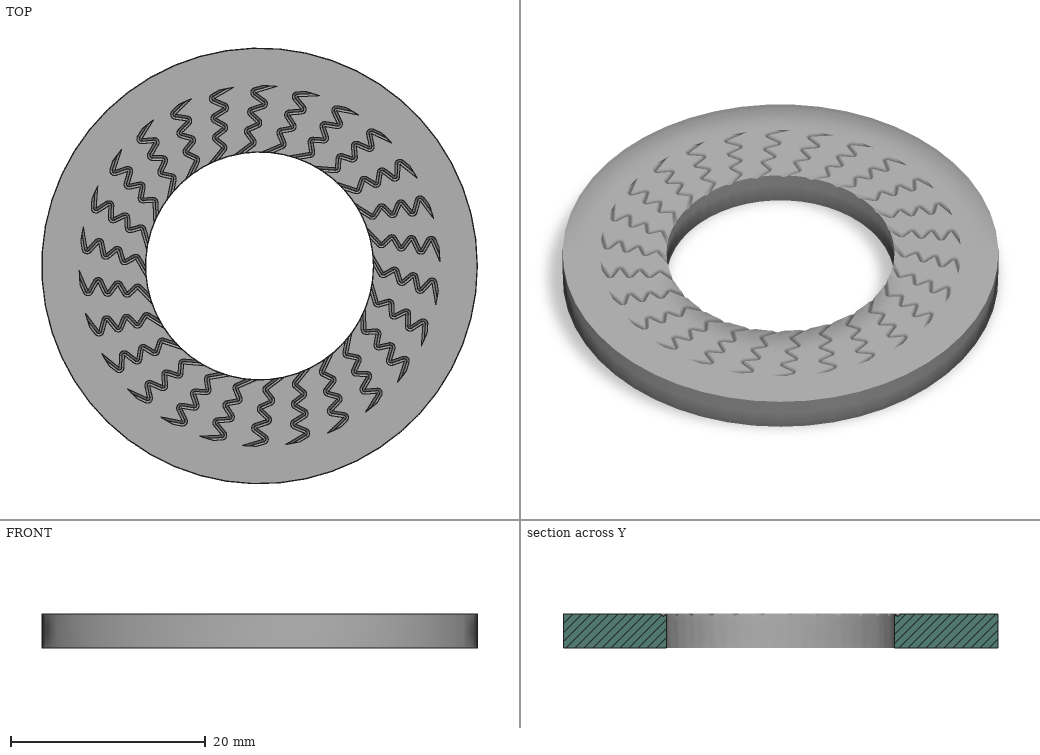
import cadquery as cq
import math

outer_diameter = 44.69
bore_diameter = 23.35
thickness = 3.5

groove_count = 26
groove_width = 0.5
groove_depth = groove_width / 2
grooved_zone_radius = 18.5

zigzag_count = 3
first_valley = (12.49, 2.015)
valley_step = (2.02, -0.43)
first_peak = (13.62, 3.1)
peak_step = (2.0, 0.0)
inlet_length = 3.0
inlet_angle = 134.0
outlet_length = 3.0
outlet_angle = -66.5

axis_clearance = 0.002
bend_radius = groove_width / 2 + axis_clearance


def stepped(start, step, count):
    return (start[0] + count * step[0], start[1] + count * step[1])


def polar_offset(point, length, angle):
    turn = math.radians(angle)
    return (point[0] + length * math.cos(turn), point[1] + length * math.sin(turn))


def path_corners():
    corners = [polar_offset(first_valley, inlet_length, inlet_angle)]
    for index in range(zigzag_count):
        corners.append(stepped(first_valley, valley_step, index))
        corners.append(stepped(first_peak, peak_step, index))
    corners.append(polar_offset(corners[-1], outlet_length, outlet_angle))
    return corners


def make_ring():
    return (
        cq.Workplane("XY")
        .circle(outer_diameter / 2)
        .circle(bore_diameter / 2)
        .extrude(thickness)
    )


def make_groove():
    corners = [cq.Vector(x, y, thickness) for x, y in path_corners()]
    sharp_path = cq.Wire.makePolygon(corners)
    path = sharp_path.fillet(bend_radius, sharp_path.Vertices()[1:-1])

    start_direction = corners[1] - corners[0]
    across = cq.Vector(0, 0, 1).cross(start_direction)
    start_plane = cq.Plane(origin=corners[0], xDir=across, normal=start_direction)
    section = (
        cq.Workplane(start_plane)
        .moveTo(-groove_width / 2, 0)
        .lineTo(groove_width / 2, 0)
        .lineTo(0, -groove_depth)
        .close()
    )
    swept = section.sweep(cq.Workplane(path))
    zone = cq.Workplane("XY").circle(grooved_zone_radius).extrude(thickness)
    return swept.intersect(zone)


def cut_grooves(ring):
    groove = make_groove()
    grooves = [
        groove.rotate((0, 0, 0), (0, 0, 1), index * 360 / groove_count).val()
        for index in range(groove_count)
    ]
    return ring.newObject([ring.val().cut(*grooves)])


result = cut_grooves(make_ring())